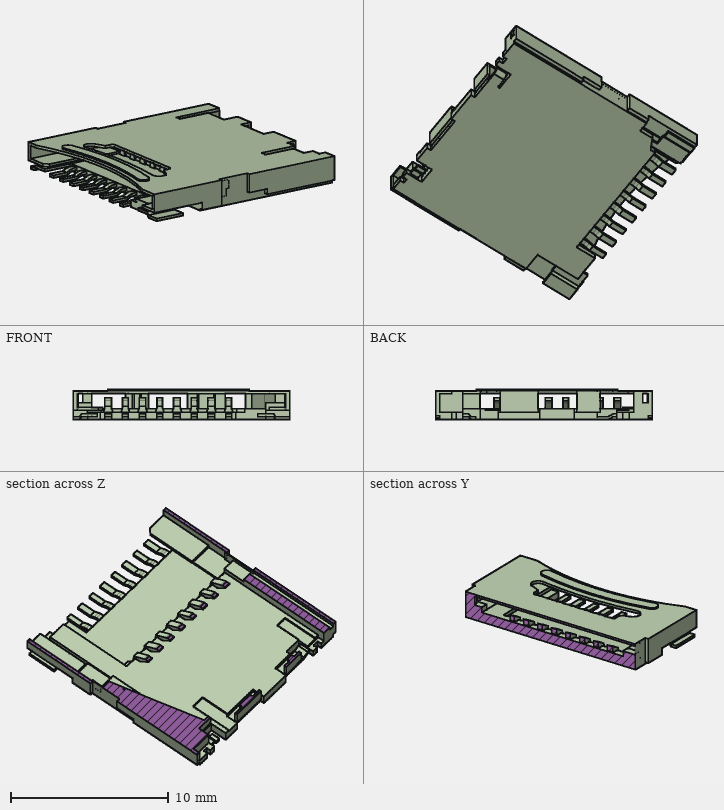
import cadquery as cq
import math

WIDTH = 13.8
DEPTH = 14.1
COVER_TOP = 1.83
GRIP_HEIGHT = 0.1
SIDE = WIDTH / 2
REAR = DEPTH / 2
FRONT = -DEPTH / 2

COVER_THICKNESS = 0.18
SIDE_WALL = 0.25
COVER_UNDERSIDE = COVER_TOP - COVER_THICKNESS
FLANGE_BOTTOM = 0.6
FLANGE_TOP = FLANGE_BOTTOM + COVER_THICKNESS
FLANGE_LEFT = -5.0
FLANGE_RIGHT = 5.585
FLANGE_CHAMFER = 0.3
INSET_WALL = 0.08
SIDE_NOTCH_FRONT = -1.79
SIDE_NOTCH_REAR = 0.39
SKIRT_FRONT = -3.29
SKIRT_BOTTOM = 0.12
REAR_SKIRT_FRONT = 1.77
REAR_SKIRT_BOTTOM = 0.24
TAB_REAR = 6.94
REAR_WALL_LEFT = (-3.58, -2.1)
REAR_WALL_RIGHT = (0.38, 2.8)
PANEL_LEFT = (-3.12, -2.57)
PANEL_RIGHT = (1.0, 2.15)
SLIT_LEFT = 3.63
SLIT_FRONT = 3.68
REAR_LUG_X = 5.88
PANEL_PRESS = 0.2
PANEL_RAMP = 0.1

ARCH_X = -0.2
ARCH_HALF_WIDTH = 5.8
ARCH_APEX_Y = -6.03
GRIP_APEX_Y = -5.33
GRIP_HALF_SPAN = 4.12
GRIP_RADIUS = 19.0
GRIP_END_RADIUS = 0.385
WINDOW_REAR_Y = -2.92
WINDOW_HALF_WIDTH = 3.2
WINDOW_SHOULDER_Y = -3.54
WINDOW_CORNER = 0.2
LOBE_X = 3.72
LOBE_Y = -4.28
LOBE_RADIUS = 0.47
LOBE_SLOPE = math.radians(22)
WINDOW_APEX_Y = -4.47

BASE_HALF = SIDE - SIDE_WALL
FLOOR = 0.47
DECK = 0.71
DECK_FRONT = -1.2
DECK_REAR = 6.16
SIDE_DECK_REAR = 6.58
BASE_FRONT = -5.0
BASE_REAR = 6.76
CORNER_X = -5.96
CORNER_Y = -4.25
CORNER_SLANT_Y = -4.65
CORNER_INNER = -5.18
SHELF_OUTER = -6.0
SHELF_INNER = -5.1
BLOCK_LEFT = 3.46
STEP_X = 4.02
BLOCK_FRONT = -6.43
RAMP_LEFT = 3.52
RAMP_LENGTH = 0.3
RELIEF_FRONT = 4.08
RELIEF_DEPTH = 0.1
PAD_SLOT_LEFT = (-4.63, -3.4)
PAD_SLOT_RIGHT = (4.06, 5.18)
PAD_SLOT_FRONT = 5.87

RAIL_TOP = 1.08
RAIL_INNER = 5.7
GUIDE_OUTER = 6.3
LATCH_X = 5.36
LATCH_TIP_X = 4.46
LATCH_FRONT_X = 5.97
LATCH_BEND_Y = 2.2
LATCH_FRONT = DECK_FRONT + 0.2
LATCH_REAR = 5.8
LATCH_LIP = 0.2

SHEET = 0.18
RAISED = 0.2
LEAD_COUNT = 8
LEAD_PITCH = 1.095
FIRST_LEAD_X = -4.67
WIDE_LEAD = 0.44
NARROW_LEAD = 0.38
LEAD_TIP_Y = -6.83
LEAD_BEND_Y = -5.8
LEAD_RISE_Y = -5.5
LEAD_CREST_Y = -5.3
LEAD_CREST_RISE = 0.06
FOOT_TOP = 0.75
FOOT_FLARE = 0.08
ARM_ROOT_Z = 0.84
ARM_BEND_Y = DECK_FRONT + 0.7
ARM_BEND_Z = 1.25
ARM_TIP_Y = DECK_FRONT + 1.1
ARM_TIP_Z = 1.4
TAB_FRONT_Y = -6.86
TAB_ROOT_Y = -4.8
TAB_INNER_X = -5.35
TAB_NECK_X = -5.7
TAB_RIGHT_INNER_X = 4.86
REAR_LEFT_TAB_Y = 5.99
REAR_RIGHT_TIP_X = 4.335
FRONT_LEFT_RAMP = (-6.35, -6.5)
FRONT_RIGHT_RAMP = (5.86, 6.0)
REAR_LEFT_RAMP = (-4.43, -4.06)
REAR_RIGHT_RAMP = (4.82, 4.63)

OVERLAP = 0.1


def box(x0, x1, y0, y1, z0, z1):
    """Axis-aligned block between two opposite corners."""
    return cq.Workplane("XY").box(x1 - x0, y1 - y0, z1 - z0, centered=False).translate((x0, y0, z0))


def cover_plate():
    """Top sheet with arched front edge and stepped rear edge."""
    plate = box(-SIDE, SIDE, FRONT, REAR, COVER_UNDERSIDE, COVER_TOP)
    arch = (
        cq.Workplane("XY", origin=(0, 0, COVER_UNDERSIDE))
        .moveTo(ARCH_X - ARCH_HALF_WIDTH, FRONT)
        .threePointArc((ARCH_X, ARCH_APEX_Y), (ARCH_X + ARCH_HALF_WIDTH, FRONT))
        .close()
        .extrude(COVER_THICKNESS)
    )
    plate = plate.cut(arch)
    tab_left = REAR_WALL_LEFT[0]
    gap_left = REAR_WALL_LEFT[1]
    gap_right, tab_right = REAR_WALL_RIGHT
    rear_cuts = [
        (-5.72, -5.35, SLIT_FRONT),
        (-5.35, tab_left, PAD_SLOT_FRONT),
        (tab_left, SLIT_LEFT, TAB_REAR),
        (gap_left, gap_right, DECK_REAR),
        (tab_right, SLIT_LEFT, 6.28),
        (SLIT_LEFT, PAD_SLOT_RIGHT[0], SLIT_FRONT),
        (*PAD_SLOT_RIGHT, PAD_SLOT_FRONT),
        (PAD_SLOT_RIGHT[1], REAR_LUG_X, SIDE_DECK_REAR),
    ]
    for left, right, reach in rear_cuts:
        plate = plate.cut(box(left, right, reach, REAR, COVER_UNDERSIDE, COVER_TOP))
    return plate.cut(window())


def window():
    """Opening with two rounded lobes and an arched front edge."""
    x_rear = WINDOW_HALF_WIDTH
    tangent_x = LOBE_X + LOBE_RADIUS * math.sin(LOBE_SLOPE)
    tangent_y = LOBE_Y + LOBE_RADIUS * math.cos(LOBE_SLOPE)
    lobe_front = LOBE_Y - LOBE_RADIUS
    corner_y = WINDOW_REAR_Y - WINDOW_CORNER
    corner_x = x_rear - WINDOW_CORNER
    bulge = WINDOW_CORNER * math.sqrt(0.5)
    return (
        cq.Workplane("XY", origin=(ARCH_X, 0, COVER_UNDERSIDE))
        .moveTo(-corner_x, WINDOW_REAR_Y)
        .lineTo(corner_x, WINDOW_REAR_Y)
        .threePointArc((corner_x + bulge, corner_y + bulge), (x_rear, corner_y))
        .lineTo(x_rear, WINDOW_SHOULDER_Y)
        .lineTo(tangent_x, tangent_y)
        .threePointArc((LOBE_X + LOBE_RADIUS, LOBE_Y), (LOBE_X, lobe_front))
        .threePointArc((0, WINDOW_APEX_Y), (-LOBE_X, lobe_front))
        .threePointArc((-LOBE_X - LOBE_RADIUS, LOBE_Y), (-tangent_x, tangent_y))
        .lineTo(-x_rear, WINDOW_SHOULDER_Y)
        .lineTo(-x_rear, corner_y)
        .threePointArc((-corner_x - bulge, corner_y + bulge), (-corner_x, WINDOW_REAR_Y))
        .close()
        .extrude(COVER_THICKNESS)
    )


def grip_rib():
    """Raised curved slot shape behind the arched edge."""
    centre_y = GRIP_APEX_Y - GRIP_RADIUS
    half_angle = math.asin(GRIP_HALF_SPAN / GRIP_RADIUS)

    def polar(radius, angle):
        return (radius * math.sin(angle), centre_y + radius * math.cos(angle))

    outer = GRIP_RADIUS + GRIP_END_RADIUS
    inner = GRIP_RADIUS - GRIP_END_RADIUS
    end_angle = half_angle + GRIP_END_RADIUS / GRIP_RADIUS
    return (
        cq.Workplane("XY", origin=(ARCH_X, 0, COVER_TOP))
        .moveTo(*polar(outer, -half_angle))
        .threePointArc(polar(outer, 0), polar(outer, half_angle))
        .threePointArc(polar(GRIP_RADIUS, end_angle), polar(inner, half_angle))
        .threePointArc(polar(inner, 0), polar(inner, -half_angle))
        .threePointArc(polar(GRIP_RADIUS, -end_angle), polar(outer, -half_angle))
        .close()
        .extrude(GRIP_HEIGHT)
    )


def side_wall(direction):
    """Side wall of the cover with its stepped lower edge, notched at mid length."""
    inner, outer = sorted((direction * BASE_HALF, direction * SIDE))
    wall = box(inner, outer, FRONT, SKIRT_FRONT, FLANGE_BOTTOM, COVER_TOP)
    wall = wall.union(box(inner, outer, SKIRT_FRONT, SIDE_NOTCH_FRONT, SKIRT_BOTTOM, COVER_TOP))
    wall = wall.union(box(inner, outer, SIDE_NOTCH_REAR, REAR, FLANGE_BOTTOM, COVER_TOP))
    wall = wall.union(box(inner, outer, REAR_SKIRT_FRONT, REAR, REAR_SKIRT_BOTTOM, COVER_TOP))
    inset_left, inset_right = sorted((direction * (BASE_HALF - INSET_WALL), direction * BASE_HALF))
    inset_front = SIDE_NOTCH_FRONT - OVERLAP
    inset_rear = SIDE_NOTCH_REAR + OVERLAP
    return wall.union(box(inset_left, inset_right, inset_front, inset_rear, FLOOR, COVER_TOP))


def notch_gap(direction):
    """Clearance that cuts the cover back to the base at mid length."""
    inner, outer = sorted((direction * BASE_HALF, direction * SIDE))
    return box(inner, outer, SIDE_NOTCH_FRONT, SIDE_NOTCH_REAR, 0, COVER_TOP)


def front_flanges():
    """Lips folded inward under the card opening at both front corners."""
    left = box(-SIDE, FLANGE_LEFT, FRONT, SKIRT_FRONT, FLANGE_BOTTOM, FLANGE_TOP)
    left = left.edges("|Z and >X and <Y").chamfer(FLANGE_CHAMFER)
    right = box(FLANGE_RIGHT, SIDE, FRONT, SKIRT_FRONT, FLANGE_BOTTOM, FLANGE_TOP)
    return left.union(right)


def rear_wall(wall_span, panel_span):
    """Cover tab folded down across the rear opening, with its middle panel pressed inward."""
    left, right = wall_span
    panel_left, panel_right = panel_span
    back = TAB_REAR
    front = TAB_REAR - SHEET
    outline = [
        (left, back),
        (left, front),
        (panel_left, front),
        (panel_left + PANEL_RAMP, front - PANEL_PRESS),
        (panel_right - PANEL_RAMP, front - PANEL_PRESS),
        (panel_right, front),
        (right, front),
        (right, back),
    ]
    wall = cq.Workplane("XY", origin=(0, 0, FLOOR)).polyline(outline).close()
    return wall.extrude(COVER_TOP - FLOOR)


def base_floor():
    """Floor with a raised rear deck and its rear edge projections."""
    outline = [
        (-BASE_HALF, BASE_REAR),
        (-BASE_HALF, SKIRT_FRONT),
        (CORNER_X, SKIRT_FRONT),
        (CORNER_X, CORNER_Y),
        (CORNER_INNER, CORNER_SLANT_Y),
        (CORNER_INNER, BASE_FRONT),
        (LATCH_X, BASE_FRONT),
        (LATCH_X, SKIRT_FRONT),
        (BASE_HALF, SKIRT_FRONT),
        (BASE_HALF, BASE_REAR),
    ]
    body = cq.Workplane("XY").polyline(outline).close().extrude(FLOOR)
    body = body.union(box(-BASE_HALF, BASE_HALF, DECK_FRONT, DECK_REAR, FLOOR, DECK))
    body = body.union(box(-BASE_HALF, PAD_SLOT_LEFT[0], DECK_FRONT, SIDE_DECK_REAR, FLOOR, DECK))
    projections = [
        (-BASE_HALF, -5.43, FLOOR),
        (-5.02, PAD_SLOT_LEFT[0], FLOOR),
        (-1.93, 0.27, DECK),
        (2.91, PAD_SLOT_RIGHT[0], DECK),
        (PAD_SLOT_RIGHT[1], 5.59, FLOOR),
        (REAR_LUG_X, BASE_HALF, FLOOR),
    ]
    for left, right, top in projections:
        body = body.union(box(left, right, DECK_REAR, REAR, 0, top))
    for left, right in (PAD_SLOT_LEFT, PAD_SLOT_RIGHT):
        body = body.cut(box(left, right, PAD_SLOT_FRONT, REAR, 0, DECK))
    for left, right in ((-5.4, PAD_SLOT_LEFT[0]), (2.8, 3.74)):
        body = body.cut(box(left, right, RELIEF_FRONT, REAR, DECK - RELIEF_DEPTH, DECK))
    return body


def base_front():
    """Flange supports, stepped corner block and the small ramp beside it."""
    shelf = box(SHELF_OUTER, SHELF_INNER, BLOCK_FRONT, DECK_FRONT, FLOOR, FLANGE_BOTTOM)
    left = box(-BASE_HALF, CORNER_X, SKIRT_FRONT, DECK_FRONT, 0, FLANGE_BOTTOM)
    right = box(LATCH_X, BASE_HALF, SKIRT_FRONT, DECK_FRONT, 0, FLANGE_BOTTOM)
    ledge = box(BLOCK_LEFT, LATCH_X, BLOCK_FRONT, DECK_FRONT, 0, FLOOR)
    block = box(STEP_X, LATCH_X, BLOCK_FRONT, DECK_FRONT, 0, DECK)
    ramp = (
        cq.Workplane("YZ", origin=(RAMP_LEFT, 0, 0))
        .polyline([(DECK_FRONT - RAMP_LENGTH, FLOOR), (DECK_FRONT, FLOOR), (DECK_FRONT, DECK)])
        .close()
        .extrude(STEP_X - RAMP_LEFT)
    )
    return left.union(shelf).union(right).union(ledge).union(block).union(ramp)


def card_guides():
    """Rails on both sides of the card and the slanted latch wall on the right."""
    left = box(-BASE_HALF, -RAIL_INNER, DECK_FRONT, REAR, FLOOR, RAIL_TOP)
    left = left.union(box(-GUIDE_OUTER, -RAIL_INNER, SIDE_NOTCH_REAR, REAR, FLOOR, COVER_UNDERSIDE))
    right = box(LATCH_X, BASE_HALF, DECK_FRONT, SIDE_DECK_REAR, FLOOR, RAIL_TOP)
    latch_outline = [
        (PAD_SLOT_RIGHT[0], LATCH_REAR),
        (PAD_SLOT_RIGHT[0], LATCH_REAR - LATCH_LIP),
        (LATCH_TIP_X, LATCH_REAR - LATCH_LIP),
        (LATCH_X - OVERLAP, LATCH_BEND_Y),
        (LATCH_FRONT_X, LATCH_FRONT),
        (BASE_HALF, LATCH_FRONT),
        (BASE_HALF, SIDE_DECK_REAR),
        (PAD_SLOT_RIGHT[1], SIDE_DECK_REAR),
        (PAD_SLOT_RIGHT[1], LATCH_REAR),
    ]
    latch = cq.Workplane("XY", origin=(0, 0, FLOOR)).polyline(latch_outline).close()
    return left.union(right).union(latch.extrude(COVER_UNDERSIDE - FLOOR))


def cranked_strip(raised_x, ramp_top_x, ramp_foot_x, end_x, front, rear):
    """Strip along X that starts raised, ramps down and ends flat on the seating plane."""
    profile = [
        (raised_x, RAISED),
        (ramp_top_x, RAISED),
        (ramp_foot_x, 0),
        (end_x, 0),
        (end_x, SHEET),
        (ramp_foot_x, SHEET),
        (ramp_top_x, RAISED + SHEET),
        (raised_x, RAISED + SHEET),
    ]
    strip = cq.Workplane("XZ", origin=(0, rear, 0)).polyline(profile).close()
    return strip.extrude(rear - front)


def solder_tabs():
    """Four cranked tabs, two under the front corners and two in the rear openings."""
    tabs = cranked_strip(TAB_INNER_X, *FRONT_LEFT_RAMP, -SIDE, TAB_FRONT_Y, TAB_ROOT_Y)
    tabs = tabs.union(box(TAB_NECK_X, TAB_INNER_X, TAB_ROOT_Y, CORNER_Y, RAISED, RAISED + SHEET))
    tabs = tabs.union(cranked_strip(TAB_RIGHT_INNER_X, *FRONT_RIGHT_RAMP, SIDE, TAB_FRONT_Y, TAB_ROOT_Y))
    left_root = PAD_SLOT_LEFT[0] - OVERLAP
    right_root = PAD_SLOT_RIGHT[1] + OVERLAP
    left_end = PAD_SLOT_LEFT[1]
    rear_left = cranked_strip(left_root, *REAR_LEFT_RAMP, left_end, REAR_LEFT_TAB_Y, BASE_REAR)
    rear_right = cranked_strip(right_root, *REAR_RIGHT_RAMP, REAR_RIGHT_TIP_X, DECK_REAR, BASE_REAR)
    return tabs.union(rear_left).union(rear_right)


def contact(x, width):
    """Lead, flared foot and sprung arm of one contact."""
    lead_profile = [
        (LEAD_TIP_Y, 0),
        (LEAD_BEND_Y, 0),
        (LEAD_RISE_Y, RAISED - LEAD_CREST_RISE),
        (LEAD_CREST_Y, RAISED),
        (BASE_FRONT + OVERLAP, RAISED),
        (BASE_FRONT + OVERLAP, RAISED + SHEET),
        (LEAD_CREST_Y, RAISED + SHEET),
        (LEAD_RISE_Y, RAISED + SHEET - LEAD_CREST_RISE),
        (LEAD_BEND_Y, SHEET),
        (LEAD_TIP_Y, SHEET),
    ]
    arm_profile = [
        (DECK_FRONT - OVERLAP, FLOOR),
        (DECK_FRONT - OVERLAP, ARM_ROOT_Z),
        (ARM_BEND_Y, ARM_BEND_Z),
        (ARM_TIP_Y, ARM_TIP_Z),
        (ARM_TIP_Y, ARM_TIP_Z - SHEET),
        (ARM_BEND_Y + SHEET, ARM_BEND_Z - SHEET),
        (DECK_FRONT + SHEET, FLOOR),
    ]
    half = width / 2
    foot_profile = [
        (x - half - FOOT_FLARE, FLOOR),
        (x + half + FOOT_FLARE, FLOOR),
        (x + half, FOOT_TOP),
        (x - half, FOOT_TOP),
    ]
    side_plane = cq.Workplane("YZ", origin=(x - half, 0, 0))
    lead = side_plane.polyline(lead_profile).close().extrude(width)
    arm = side_plane.polyline(arm_profile).close().extrude(width)
    foot = cq.Workplane("XZ", origin=(0, DECK_FRONT + OVERLAP, 0)).polyline(foot_profile).close()
    return lead.union(arm).union(foot.extrude(2 * OVERLAP))


result = cover_plate().union(grip_rib())
for direction in (-1, 1):
    result = result.cut(notch_gap(direction)).union(side_wall(direction))
result = result.union(front_flanges())
result = result.union(rear_wall(REAR_WALL_LEFT, PANEL_LEFT))
result = result.union(rear_wall(REAR_WALL_RIGHT, PANEL_RIGHT))
result = result.union(base_floor()).union(base_front()).union(card_guides())
result = result.union(solder_tabs())
for index in range(LEAD_COUNT):
    lead_width = NARROW_LEAD if index % 2 else WIDE_LEAD
    result = result.union(contact(FIRST_LEAD_X + index * LEAD_PITCH, lead_width))